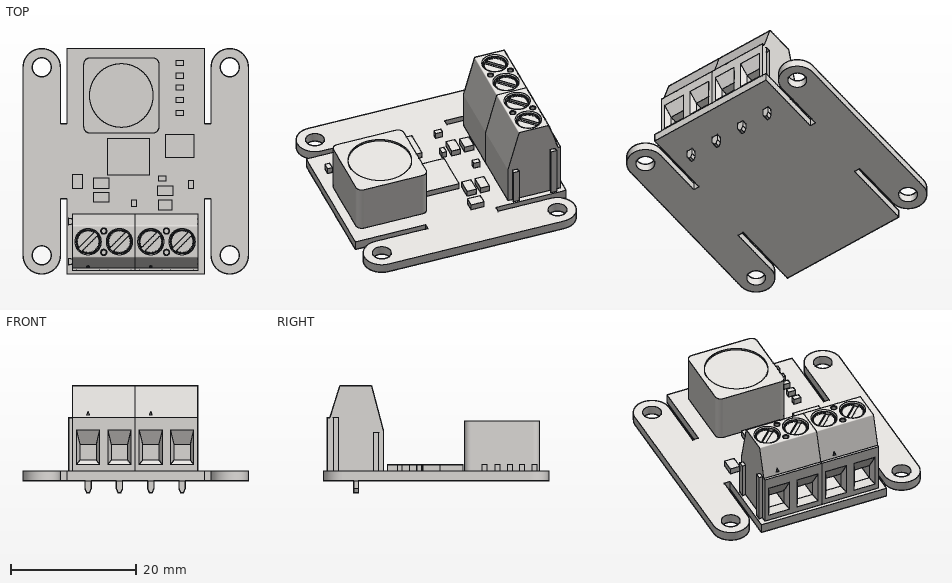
import cadquery as cq
import math

BOARD_SIZE = 36.0
BOARD_THICKNESS = 1.6
ARM_WIDTH = 6.0
ARM_HOLE_DIAMETER = 3.0
CENTER_WIDTH = 22.0
SLOT_END_Y = 6.0

INDUCTOR_SIZE = 12.0
INDUCTOR_HEIGHT = 8.0
INDUCTOR_CORNER_RADIUS = 1.0
INDUCTOR_CENTER = (-2.3, 10.5)
INDUCTOR_RECESS_DIAMETER = 10.16
INDUCTOR_RECESS_DEPTH = 0.3

CHIP_HEIGHT = 1.0
COLUMN_CHIP_X = 7.0
COLUMN_CHIP_SIZE = (1.2, 0.8)
COLUMN_CHIP_YS = (7.73, 9.76, 11.8, 13.65, 15.7)
CHIPS = [
    (-1.15, 0.75, 6.7, 5.85),
    (7.05, 2.45, 4.55, 3.65),
    (-9.3, -3.2, 1.65, 2.2),
    (-5.5, -3.5, 2.5, 1.6),
    (-5.5, -5.75, 2.5, 1.5),
    (4.2, -2.75, 1.2, 0.75),
    (4.7, -4.7, 2.5, 1.5),
    (4.7, -7.0, 2.2, 1.6),
    (8.8, -3.7, 0.75, 1.2),
    (-0.25, -6.7, 0.8, 1.1),
]

PITCH = 5.0
POLES = 2
BLOCK_COUNT = 2
BLOCK_WIDTH = PITCH * POLES
ROW_CENTER_X = -0.1
BLOCK_HEIGHT = 13.6
BLOCK_FRONT_Y = -17.4
BLOCK_DEPTH = 9.0
SHOULDER_HEIGHT = 8.5
SHOULDER_WIDTH = 0.4
REAR_BEND_HEIGHT = 6.4
TOP_FRONT_Y = -15.4
TOP_REAR_Y = -10.3
TOP_EDGE_RADIUS = 0.2

PIN_Y = -12.8
PIN_SIZE = (1.05, 0.8)
PIN_LENGTH = 3.5
PIN_TIP_WIDTH = 0.45
PIN_TIP_LENGTH = 0.7

FRONT_RIB_Y = -16.0
REAR_RIB_Y = -9.6
REAR_RIB_HEIGHT = 6.1
RIB_THICKNESS = 0.6
RIB_ROOT_WIDTH = 0.8
RIB_WIDTH = 1.05
RIBS = [(FRONT_RIB_Y, SHOULDER_HEIGHT), (REAR_RIB_Y, REAR_RIB_HEIGHT)]

MOUTH_SIZE = (3.7, 5.55)
MOUTH_BOTTOM = 1.0
THROAT_SIZE = (2.6, 2.5)
THROAT_BOTTOM = 1.75
MOUTH_DEPTH = 1.0
THROAT_DEPTH = 4.0

SCREW_Y = -12.83
SCREW_BORE_DIAMETER = 3.8
SCREW_BORE_DEPTH = 0.4
SCREW_BEVEL = 0.2
SCREW_SLOT_WIDTH = 0.75
SCREW_SLOT_DEPTH = 0.4
SCREW_SLOT_ANGLE = 45.0
KNURL_ROOT_DIAMETER = 3.4
KNURL_COUNT = 40
SMALL_HOLE_DIAMETER = 0.8
SMALL_HOLE_DEPTH = 1.0
SMALL_HOLE_BEVEL = 0.1
SMALL_HOLE_SPACING = 3.4

MARKER_WIDTH = 0.45
MARKER_HEIGHT = 0.6
MARKER_OFFSET = 0.45
MARKER_DEPTH = 0.1

board_top = BOARD_THICKNESS
block_top = board_top + BLOCK_HEIGHT
block_rear_y = BLOCK_FRONT_Y + BLOCK_DEPTH
arm_center = (BOARD_SIZE - ARM_WIDTH) / 2
slope_foot_y = BLOCK_FRONT_Y + SHOULDER_WIDTH
row_left_x = ROW_CENTER_X - BLOCK_COUNT * BLOCK_WIDTH / 2
block_lefts = [row_left_x + i * BLOCK_WIDTH for i in range(BLOCK_COUNT)]


def box(center_x, center_y, bottom, size_x, size_y, height):
    plane = cq.Workplane("XY", origin=(center_x, center_y, bottom))
    return plane.rect(size_x, size_y).extrude(height)


def pole_xs(left_x):
    return [left_x + (i + 0.5) * PITCH for i in range(POLES)]


def make_pin(x):
    half = PIN_SIZE[0] / 2
    tip_half = PIN_TIP_WIDTH / 2
    return (
        cq.Workplane("XZ", origin=(x, PIN_Y + PIN_SIZE[1] / 2, board_top))
        .moveTo(-half, 0)
        .lineTo(-half, PIN_TIP_LENGTH - PIN_LENGTH)
        .lineTo(-tip_half, -PIN_LENGTH)
        .lineTo(tip_half, -PIN_LENGTH)
        .lineTo(half, PIN_TIP_LENGTH - PIN_LENGTH)
        .lineTo(half, 0)
        .close()
        .extrude(PIN_SIZE[1])
    )


def make_ribs(face_x):
    """Dovetail ribs on the left of a block; each fits the groove of the block beside it."""
    ribs = []
    for rib_y, height in RIBS:
        rib = (
            cq.Workplane("XY", origin=(face_x, rib_y, board_top))
            .moveTo(0, -RIB_ROOT_WIDTH / 2)
            .lineTo(-RIB_THICKNESS, -RIB_WIDTH / 2)
            .lineTo(-RIB_THICKNESS, RIB_WIDTH / 2)
            .lineTo(0, RIB_ROOT_WIDTH / 2)
            .close()
            .extrude(height)
        )
        ribs.append(rib)
    return ribs


def make_wire_mouth(x):
    """Tapered funnel in the front face, with a straight throat behind it."""
    mouth_center = MOUTH_BOTTOM + MOUTH_SIZE[1] / 2
    throat_rise = THROAT_BOTTOM + THROAT_SIZE[1] / 2 - mouth_center
    funnel = (
        cq.Workplane("XZ", origin=(x, BLOCK_FRONT_Y, board_top + mouth_center))
        .rect(*MOUTH_SIZE)
        .workplane(offset=-MOUTH_DEPTH)
        .center(0, throat_rise)
        .rect(*THROAT_SIZE)
        .loft(ruled=True)
    )
    throat = box(
        x, BLOCK_FRONT_Y + THROAT_DEPTH / 2, board_top + THROAT_BOTTOM,
        THROAT_SIZE[0], THROAT_DEPTH, THROAT_SIZE[1],
    )
    return funnel.union(throat)


def make_beveled_bore(x, y, diameter, depth, bevel):
    radius = diameter / 2
    return (
        cq.Workplane("XZ", origin=(x, y, block_top))
        .lineTo(radius + bevel, 0)
        .lineTo(radius, -bevel)
        .lineTo(radius, -depth)
        .lineTo(0, -depth)
        .close()
        .revolve(360, (0, 0, 0), (0, 1, 0))
    )


def make_knurled_core(x, floor):
    """Knurled shank of a screw, from the screw face down to the slot floor."""
    points = []
    for i in range(KNURL_COUNT):
        for step, diameter in ((0, KNURL_ROOT_DIAMETER), (0.5, SCREW_BORE_DIAMETER)):
            angle = 2 * math.pi * (i + step) / KNURL_COUNT
            points.append((diameter / 2 * math.cos(angle), diameter / 2 * math.sin(angle)))
    return (
        cq.Workplane("XY", origin=(x, SCREW_Y, floor))
        .polyline(points)
        .close()
        .extrude(-SCREW_SLOT_DEPTH)
    )


def make_screw_recess(x):
    """Everything removed around a screw: beveled bore, gaps of the knurl and driver slot."""
    floor = block_top - SCREW_BORE_DEPTH
    bore = make_beveled_bore(x, SCREW_Y, SCREW_BORE_DIAMETER, SCREW_BORE_DEPTH, SCREW_BEVEL)
    shank = (
        cq.Workplane("XY", origin=(x, SCREW_Y, floor))
        .circle(SCREW_BORE_DIAMETER / 2)
        .extrude(-SCREW_SLOT_DEPTH)
    )
    slot = (
        cq.Workplane("XY", origin=(x, SCREW_Y, floor))
        .transformed(rotate=(0, 0, SCREW_SLOT_ANGLE))
        .rect(2 * SCREW_BORE_DIAMETER, SCREW_SLOT_WIDTH)
        .extrude(-SCREW_SLOT_DEPTH)
        .intersect(shank)
    )
    knurl_gaps = shank.cut(make_knurled_core(x, floor))
    return bore.union(slot).union(knurl_gaps)


def make_marker(x):
    """Triangular first-pole mark, engraved in the front slope."""
    slope_run = TOP_FRONT_Y - slope_foot_y
    slope_rise = BLOCK_HEIGHT - SHOULDER_HEIGHT
    slope_plane = cq.Plane(
        origin=(x, slope_foot_y, board_top + SHOULDER_HEIGHT),
        xDir=(1, 0, 0),
        normal=(0, -slope_rise, slope_run),
    )
    return (
        cq.Workplane(slope_plane)
        .moveTo(-MARKER_WIDTH / 2, MARKER_OFFSET)
        .lineTo(MARKER_WIDTH / 2, MARKER_OFFSET)
        .lineTo(0, MARKER_OFFSET + MARKER_HEIGHT)
        .close()
        .extrude(-MARKER_DEPTH)
    )


def make_block_body(left_x):
    body = (
        cq.Workplane("YZ", origin=(left_x, 0, board_top))
        .moveTo(BLOCK_FRONT_Y, 0)
        .lineTo(BLOCK_FRONT_Y, SHOULDER_HEIGHT)
        .lineTo(slope_foot_y, SHOULDER_HEIGHT)
        .lineTo(TOP_FRONT_Y, BLOCK_HEIGHT)
        .lineTo(TOP_REAR_Y, BLOCK_HEIGHT)
        .lineTo(block_rear_y, REAR_BEND_HEIGHT)
        .lineTo(block_rear_y, 0)
        .close()
        .extrude(BLOCK_WIDTH)
    )
    return body.faces(">Z").edges("|X").fillet(TOP_EDGE_RADIUS)


def make_terminal_block(left_x):
    block = make_block_body(left_x)
    for rib in make_ribs(left_x):
        block = block.union(rib)
    for groove in make_ribs(left_x + BLOCK_WIDTH):
        block = block.cut(groove)
    for x in pole_xs(left_x):
        block = block.cut(make_wire_mouth(x))
        block = block.cut(make_screw_recess(x))
        block = block.union(make_pin(x))
    for side in (-1, 1):
        hole = make_beveled_bore(
            left_x + BLOCK_WIDTH / 2,
            SCREW_Y + side * SMALL_HOLE_SPACING / 2,
            SMALL_HOLE_DIAMETER,
            SMALL_HOLE_DEPTH,
            SMALL_HOLE_BEVEL,
        )
        block = block.cut(hole)
    return block.cut(make_marker(pole_xs(left_x)[0]))


def make_inductor():
    return (
        box(*INDUCTOR_CENTER, board_top, INDUCTOR_SIZE, INDUCTOR_SIZE, INDUCTOR_HEIGHT)
        .edges("|Z")
        .fillet(INDUCTOR_CORNER_RADIUS)
        .faces(">Z")
        .workplane()
        .hole(INDUCTOR_RECESS_DIAMETER, INDUCTOR_RECESS_DEPTH)
    )


def make_board_plate():
    plate = box(0, 0, 0, CENTER_WIDTH, BOARD_SIZE, BOARD_THICKNESS)
    bridge = box(0, 0, 0, 2 * arm_center, 2 * SLOT_END_Y, BOARD_THICKNESS)
    plate = plate.union(bridge)
    for side in (-1, 1):
        arm = (
            cq.Workplane("XY", origin=(side * arm_center, 0, 0))
            .slot2D(BOARD_SIZE, ARM_WIDTH, 90)
            .extrude(BOARD_THICKNESS)
        )
        plate = plate.union(arm)
    mounting_holes = (
        cq.Workplane("XY")
        .rect(2 * arm_center, 2 * arm_center, forConstruction=True)
        .vertices()
        .circle(ARM_HOLE_DIAMETER / 2)
        .extrude(BOARD_THICKNESS)
    )
    return plate.cut(mounting_holes)


def make_board():
    """Board plate with its soldered components and a matching hole for each terminal pin."""
    board = make_board_plate().union(make_inductor())
    column_chips = [(COLUMN_CHIP_X, chip_y, *COLUMN_CHIP_SIZE) for chip_y in COLUMN_CHIP_YS]
    for x, y, size_x, size_y in CHIPS + column_chips:
        board = board.union(box(x, y, board_top, size_x, size_y, CHIP_HEIGHT))
    for left_x in block_lefts:
        for x in pole_xs(left_x):
            board = board.cut(make_pin(x))
    return board


board = make_board()
terminal_blocks = [make_terminal_block(left_x) for left_x in block_lefts]
result = cq.Compound.makeCompound([board.val(), *[block.val() for block in terminal_blocks]])